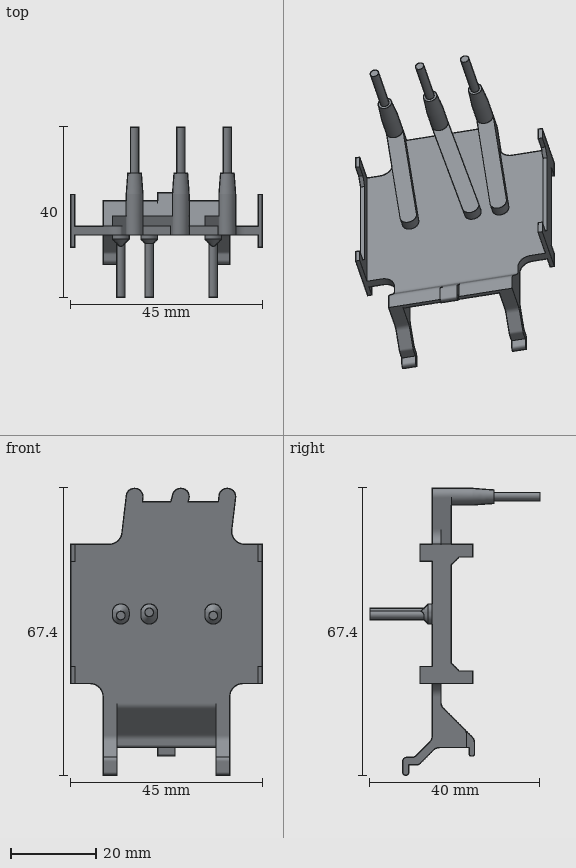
import cadquery as cq
import math


PLATE_WIDTH = 45.0
PLATE_HEIGHT = 32.75
PLATE_THICKNESS = 2.1
CORNER_RADIUS = 3.0
HALF_WIDTH = PLATE_WIDTH / 2
HALF_HEIGHT = PLATE_HEIGHT / 2
PLATE_TOP = 26.35
NECK_HALF_WIDTH = 14.9

FLANGE_THICKNESS = 1.0
REAR_LUG_HEIGHT = 3.0
REAR_LUG_END = 9.6
FRONT_LUG_HEIGHT = 4.05
FRONT_LUG_END = -2.9
LUG_CHAMFER = 1.8

REAR_WIRE_X = (-7.5, 3.4, 14.3)
FRONT_PIN_X = (-10.7, -4.05, 11.0)
PIN_RISE = (-0.37, 0.37, -0.37)
CHANNEL_DIAMETER = 4.0
CHANNEL_RADIUS = CHANNEL_DIAMETER / 2
CHANNEL_DEPTH = 4.5
PART_TOP = 29.5
WIRE_Z = PART_TOP - CHANNEL_RADIUS
SLEEVE_END = REAR_LUG_END
TAPER_END = 14.55
TAPER_TIP_DIAMETER = 3.25
WIRE_DIAMETER = 2.0
WIRE_END = 25.35
PIN_END = -14.6

PAD_HEIGHT = 4.7
PAD_THICKNESS = 0.95
PAD_TAPER_HEIGHT = 1.9
PAD_TAPER_ANGLE = 45
UPRIGHT = 90

PART_BOTTOM = PART_TOP - 67.4
OPENING_HALF_WIDTH = 11.6
BEND_RADIUS = 2.0
SMALL_BEND_RADIUS = 1.0
OUTER_BEND_Z = -21.6
INNER_BEND_Z = -22.0
CLIP_BACK = 8.1
CLIP_BOTTOM = -31.4
WALL_THICKNESS = 1.35
WALL_EDGE_RADIUS = 0.6
LEG_BEND_Z = -29.45
LEG_HEIGHT = 2.8
FOOT_TOP = -33.6
FOOT_BOTTOM = -35.45
FOOT_FRONT = -6.95
FOOT_THICKNESS = 1.5
FOOT_TIP_RADIUS = 0.7
TAB_WIDTH = 4.1
TAB_BACK = 10.0
TAB_THICKNESS = 1.3
TAB_BOTTOM = -33.35
TAB_EDGE_RADIUS = 0.5


def rounded_outline(plane, corners):
    """Closed outline through (u, v, radius) corners; radius 0 is sharp, as the first must be."""
    stops = []
    for index, (u, v, radius) in enumerate(corners):
        corner = cq.Vector(u, v, 0)
        if radius == 0:
            stops.append((corner,))
            continue
        before = cq.Vector(*corners[index - 1][:2], 0)
        after = cq.Vector(*corners[(index + 1) % len(corners)][:2], 0)
        to_before = (before - corner).normalized()
        to_after = (after - corner).normalized()
        half_angle = to_before.getAngle(to_after) / 2
        setback = radius / math.tan(half_angle)
        bisector = (to_before + to_after).normalized()
        middle = corner + bisector * (radius / math.sin(half_angle) - radius)
        stops.append((corner + to_before * setback, middle, corner + to_after * setback))

    outline = cq.Workplane(plane).moveTo(*stops[0][0].toTuple()[:2])
    for stop in stops[1:]:
        outline = outline.lineTo(*stop[0].toTuple()[:2])
        if len(stop) > 1:
            outline = outline.threePointArc(stop[1].toTuple()[:2], stop[2].toTuple()[:2])
    return outline.close()


def along_y(y_start, y_end, x, z, diameter):
    """Round bar parallel to Y."""
    bar = cq.Workplane("XZ", origin=(x, y_start, z)).circle(diameter / 2)
    return bar.extrude(y_start - y_end)


def across_x(corners, x_start, x_end):
    """Y-Z profile extruded along X."""
    return rounded_outline("YZ", corners).extrude(x_end - x_start).translate((x_start, 0, 0))


def channel_edge_x(wire_x, pin_x, side, z):
    """X of a channel's straight edge at height z; side is -1 for left and +1 for right."""
    lean = (wire_x - pin_x) / WIRE_Z
    return pin_x + lean * z + side * CHANNEL_RADIUS * math.hypot(1, lean)


def plate():
    def left_edge(z):
        return channel_edge_x(REAR_WIRE_X[0], FRONT_PIN_X[0], -1, z)

    def right_edge(z):
        return channel_edge_x(REAR_WIRE_X[-1], FRONT_PIN_X[-1], 1, z)

    corners = [
        (-HALF_WIDTH, -HALF_HEIGHT, 0),
        (-HALF_WIDTH, HALF_HEIGHT, 0),
        (left_edge(HALF_HEIGHT), HALF_HEIGHT, CORNER_RADIUS),
        (left_edge(PLATE_TOP), PLATE_TOP, 0),
        (right_edge(PLATE_TOP), PLATE_TOP, 0),
        (right_edge(HALF_HEIGHT), HALF_HEIGHT, CORNER_RADIUS),
        (HALF_WIDTH, HALF_HEIGHT, 0),
        (HALF_WIDTH, -HALF_HEIGHT, 0),
        (NECK_HALF_WIDTH, -HALF_HEIGHT, CORNER_RADIUS),
        (NECK_HALF_WIDTH, INNER_BEND_Z + BEND_RADIUS, 0),
        (-NECK_HALF_WIDTH, INNER_BEND_Z + BEND_RADIUS, 0),
        (-NECK_HALF_WIDTH, -HALF_HEIGHT, CORNER_RADIUS),
    ]
    return rounded_outline("XZ", corners).extrude(-PLATE_THICKNESS)


def flange(x_start):
    rear_lug = HALF_HEIGHT - REAR_LUG_HEIGHT
    front_lug = HALF_HEIGHT - FRONT_LUG_HEIGHT
    upper_half = [
        (FRONT_LUG_END, HALF_HEIGHT, 0),
        (REAR_LUG_END, HALF_HEIGHT, 0),
        (REAR_LUG_END, rear_lug, 0),
        (CHANNEL_DEPTH + LUG_CHAMFER, rear_lug, 0),
        (CHANNEL_DEPTH, rear_lug - LUG_CHAMFER, 0),
    ]
    upper_half = [(0, front_lug, 0), (FRONT_LUG_END, front_lug, 0)] + upper_half
    lower_half = [(y, -z, radius) for y, z, radius in reversed(upper_half)]
    return across_x(upper_half + lower_half, x_start, x_start + FLANGE_THICKNESS)


def channel(wire_x, pin_x):
    run = math.hypot(wire_x - pin_x, WIRE_Z)
    angle = math.degrees(math.atan2(WIRE_Z, wire_x - pin_x))
    middle = ((wire_x + pin_x) / 2, 0, WIRE_Z / 2)
    slot = cq.Workplane("XZ", origin=middle).slot2D(run + CHANNEL_DIAMETER, CHANNEL_DIAMETER, angle)
    return slot.extrude(-CHANNEL_DEPTH)


def rear_wire(x):
    sleeve = along_y(0, SLEEVE_END, x, WIRE_Z, CHANNEL_DIAMETER)
    taper = (
        cq.Workplane("XZ", origin=(x, SLEEVE_END, WIRE_Z))
        .circle(CHANNEL_RADIUS)
        .workplane(offset=SLEEVE_END - TAPER_END)
        .circle(TAPER_TIP_DIAMETER / 2)
        .loft()
    )
    wire = along_y(SLEEVE_END, WIRE_END, x, WIRE_Z, WIRE_DIAMETER)
    return sleeve.union(taper).union(wire)


def front_pin(x, rise):
    def oblong(y):
        return cq.Workplane("XZ", origin=(x, y, 0)).slot2D(PAD_HEIGHT, CHANNEL_DIAMETER, UPRIGHT)

    pad = oblong(PLATE_THICKNESS).extrude(PLATE_THICKNESS + PAD_THICKNESS)
    taper = oblong(-PAD_THICKNESS).extrude(PAD_TAPER_HEIGHT, taper=PAD_TAPER_ANGLE)
    pin = along_y(0, PIN_END, x, rise, WIRE_DIAMETER)
    return pad.union(taper).union(pin)


def clip_back_bend(y):
    """Corner where the outer 45 degree slope turns down at depth y."""
    return (y, OUTER_BEND_Z + PLATE_THICKNESS - y, BEND_RADIUS)


def clip_arm(x_start):
    leg_bottom_z = LEG_BEND_Z - LEG_HEIGHT
    foot_back = FOOT_FRONT + FOOT_THICKNESS
    corners = [
        (0, -HALF_HEIGHT, 0),
        (PLATE_THICKNESS, -HALF_HEIGHT, 0),
        (PLATE_THICKNESS, OUTER_BEND_Z, BEND_RADIUS),
        clip_back_bend(CLIP_BACK),
        (CLIP_BACK, CLIP_BOTTOM, 0),
        (CLIP_BOTTOM - leg_bottom_z, CLIP_BOTTOM, BEND_RADIUS),
        (FOOT_BOTTOM - leg_bottom_z, FOOT_BOTTOM, SMALL_BEND_RADIUS),
        (foot_back, FOOT_BOTTOM, 0),
        (foot_back, PART_BOTTOM, FOOT_TIP_RADIUS),
        (FOOT_FRONT, PART_BOTTOM, FOOT_TIP_RADIUS),
        (FOOT_FRONT, FOOT_TOP, SMALL_BEND_RADIUS),
        (FOOT_TOP - LEG_BEND_Z, FOOT_TOP, SMALL_BEND_RADIUS),
        (0, LEG_BEND_Z, BEND_RADIUS),
    ]
    return across_x(corners, x_start, x_start + NECK_HALF_WIDTH - OPENING_HALF_WIDTH)


def clip_wall():
    inner_y = CLIP_BACK - WALL_THICKNESS
    corners = [
        (0, -HALF_HEIGHT, 0),
        (PLATE_THICKNESS, -HALF_HEIGHT, 0),
        (PLATE_THICKNESS, OUTER_BEND_Z, BEND_RADIUS),
        clip_back_bend(CLIP_BACK),
        (CLIP_BACK, CLIP_BOTTOM, 0),
        (inner_y, CLIP_BOTTOM, WALL_EDGE_RADIUS),
        (inner_y, INNER_BEND_Z - inner_y, BEND_RADIUS),
        (0, INNER_BEND_Z, BEND_RADIUS),
    ]
    return across_x(corners, -OPENING_HALF_WIDTH, OPENING_HALF_WIDTH)


def clip_tab():
    wall_middle = CLIP_BACK - WALL_THICKNESS / 2
    front_y = TAB_BACK - TAB_THICKNESS
    corners = [
        (wall_middle, clip_back_bend(wall_middle)[1], 0),
        clip_back_bend(TAB_BACK),
        (TAB_BACK, TAB_BOTTOM, TAB_EDGE_RADIUS),
        (front_y, TAB_BOTTOM, TAB_EDGE_RADIUS),
        (front_y, CLIP_BOTTOM, 0),
        (wall_middle, CLIP_BOTTOM, 0),
    ]
    return across_x(corners, -TAB_WIDTH / 2, TAB_WIDTH / 2)


result = plate()
for flange_x in (-HALF_WIDTH, HALF_WIDTH - FLANGE_THICKNESS):
    result = result.union(flange(flange_x))
for wire_x, pin_x, rise in zip(REAR_WIRE_X, FRONT_PIN_X, PIN_RISE):
    result = result.union(channel(wire_x, pin_x))
    result = result.union(rear_wire(wire_x))
    result = result.union(front_pin(pin_x, rise))
for arm_x in (-NECK_HALF_WIDTH, OPENING_HALF_WIDTH):
    result = result.union(clip_arm(arm_x))
result = result.union(clip_wall()).union(clip_tab())